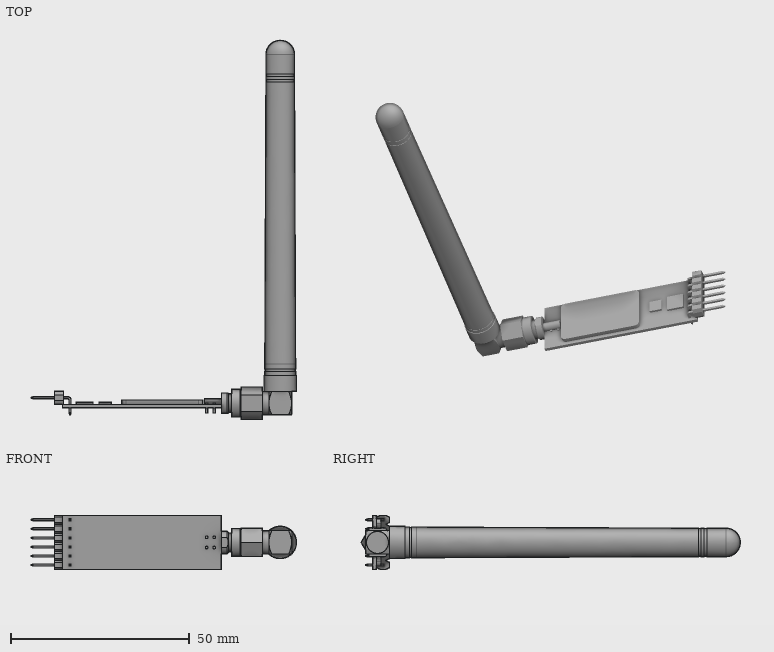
import cadquery as cq
import math


board_length = 44.5
board_width = 15.2
board_thickness = 1.01
board_back = -0.3
board_front = board_back - board_thickness

pin_count = 6
pin_pitch = board_width / pin_count
pin_width = 0.6
pin_tip_length = 0.6
pin_tip_taper = 20
pin_left_end = -8.8
pin_bottom_end = -3.3
pin_leg_x = 2.1
pin_bend_radius = 1.0
header_left = -2.2
header_length = 2.5
header_height = 3.7
header_waist = 1.6
header_bevel_width = 0.5
header_center_y = board_back + header_height / 2
pin_heights = [(i - (pin_count - 1) / 2) * pin_pitch for i in range(pin_count)]

shield_left = 16.6
shield_length = 22.7
shield_width = 13.2
shield_height = 1.3
shield_corner_radius = 1.3
chip_height = 0.6
chips = [(3.8, 4.8), (10.2, 3.5)]

barrel_radius = 1.3
barrel_length = 4.8
peg_diameter = 0.7
peg_bottom = -2.8
peg_half_spacing_z = 1.43
peg_setbacks = [2.0, 4.1]
flange_radius = 3.2
flange_length = 2.0
flange_chamfer = 0.4
flange_flat_distance = 2.9
thread_radius = 2.7
thread_length = 9.1

nut_start = board_length + 2.9
collar_radius = 3.9
collar_length = 2.3
nut_groove_width = 0.3
nut_groove_radius = 3.6
hex_across_flats = 8.0
hex_length = 6.0
elbow_side = 6.6
elbow_end_radius = 3.1
elbow_bevel_angle = 30
hex_start = nut_start + collar_length + nut_groove_width
hex_end = hex_start + hex_length

whip_x = 61.0
whip_base = elbow_side / 2
overall_length = 106.2
whip_end = overall_length - hex_across_flats / math.sqrt(3)
base_radius = 4.6
base_end = 7.8
ring_radius = 4.4
ring_ends = [8.9, 9.6, 10.9]
neck_radius = 4.2
tip_radius = 4.0
tip_grooves = [89.9, 91.4]
tip_groove_width = 0.7
tip_groove_depth = 0.1


def x_cylinder(start, length, radius):
    """Cylinder on the connector axis, from X = start."""
    return cq.Workplane("YZ", origin=(start, 0, 0)).circle(radius).extrude(length)


def box_between(x_range, y_range, width):
    """Box with the given X and Y ranges, centred on Z = 0."""
    x0, x1 = x_range
    y0, y1 = y_range
    box = cq.Workplane("XY").box(x1 - x0, y1 - y0, width)
    return box.translate(((x0 + x1) / 2, (y0 + y1) / 2, 0))


def peg_cylinders():
    """The four round legs of the jack, from the connector axis down through the board."""
    places = [
        (board_length - setback, side * peg_half_spacing_z)
        for setback in peg_setbacks
        for side in (-1, 1)
    ]
    plane = cq.Workplane(cq.Plane(origin=(0, 0, 0), xDir=(1, 0, 0), normal=(0, -1, 0)))
    return plane.pushPoints(places).circle(peg_diameter / 2).extrude(-peg_bottom)


def make_pin(height):
    """Bent square pin with tapered ends, centred on Z = height."""
    half = pin_width / 2
    shaft_left = pin_left_end + pin_tip_length
    leg_bottom = pin_bottom_end + pin_tip_length
    top = header_center_y + half
    outline = [
        (shaft_left, top),
        (pin_leg_x + half, top),
        (pin_leg_x + half, leg_bottom),
        (pin_leg_x - half, leg_bottom),
        (pin_leg_x - half, top - pin_width),
        (shaft_left, top - pin_width),
    ]
    shaft = cq.Workplane("XY").polyline(outline).close().extrude(half, both=True)
    shaft = shaft.edges("|Z and >X and >Y").fillet(pin_bend_radius)
    inner_corner = (pin_leg_x - half, top - pin_width, 0)
    inner_edge = cq.selectors.NearestToPointSelector(inner_corner)
    shaft = shaft.edges("|Z").edges(inner_edge).fillet(pin_bend_radius - pin_width)
    for face in ("<X", "<Y"):
        tip = (
            shaft.faces(face)
            .workplane(centerOption="CenterOfMass")
            .rect(pin_width, pin_width)
            .extrude(pin_tip_length, taper=pin_tip_taper, combine=False)
        )
        shaft = shaft.union(tip)
    return shaft.translate((0, 0, height))


def header_unit(height):
    """One bevelled housing segment around a pin."""
    y_outer = header_height / 2
    y_waist = header_waist / 2
    z_outer = pin_pitch / 2
    z_bevel = z_outer - header_bevel_width
    octagon = [
        (y_outer, -z_bevel),
        (y_outer, z_bevel),
        (y_waist, z_outer),
        (-y_waist, z_outer),
        (-y_outer, z_bevel),
        (-y_outer, -z_bevel),
        (-y_waist, -z_outer),
        (y_waist, -z_outer),
    ]
    plane = cq.Workplane("YZ", origin=(header_left, header_center_y, height))
    return plane.polyline(octagon).close().extrude(header_length)


def make_header():
    header = header_unit(pin_heights[0])
    for height in pin_heights[1:]:
        header = header.union(header_unit(height))
    for height in pin_heights:
        header = header.union(make_pin(height))
    return header


def make_board():
    """Board with its flat chips and the holes for the header pins and jack legs."""
    board = box_between((0, board_length), (board_front, board_back), board_width)
    for left, side in chips:
        chip = box_between((left, left + side), (board_back, board_back + chip_height), side)
        board = board.union(chip)
    for height in pin_heights:
        hole = cq.Workplane("XY").box(pin_width, 2 * board_thickness, pin_width)
        board = board.cut(hole.translate((pin_leg_x, (board_back + board_front) / 2, height)))
    return board.cut(peg_cylinders())


def make_shield():
    x_range = (shield_left, shield_left + shield_length)
    shield = box_between(x_range, (board_back, board_back + shield_height), shield_width)
    return shield.edges("|Y").fillet(shield_corner_radius)


def make_jack():
    """Flange with two flats, threaded stub, and a barrel with four legs on the board."""
    flange = x_cylinder(board_length, flange_length, flange_radius)
    flange = flange.faces(">X").chamfer(flange_chamfer)
    flats = box_between(
        (board_length, board_length + flange_length),
        (-flange_flat_distance, flange_flat_distance),
        2 * flange_radius,
    )
    flange = flange.intersect(flats)
    stub = x_cylinder(board_length, thread_length, thread_radius)
    barrel_start = board_length - barrel_length
    barrel = x_cylinder(barrel_start, barrel_length, barrel_radius)
    above_board = box_between((barrel_start, board_length), (board_back, barrel_radius), 2 * barrel_radius)
    barrel = barrel.intersect(above_board)
    return flange.union(stub).union(barrel).union(peg_cylinders())


def make_elbow():
    """Square block whose corners are turned down to a cone at both X ends."""
    half = elbow_side / 2
    block_left = whip_x - half
    block_right = whip_x + half
    turned_radius = elbow_side
    bevel_depth = (turned_radius - elbow_end_radius) * math.tan(math.radians(elbow_bevel_angle))
    profile = [
        (block_left, 0),
        (block_left, elbow_end_radius),
        (block_left + bevel_depth, turned_radius),
        (block_right - bevel_depth, turned_radius),
        (block_right, elbow_end_radius),
        (block_right, 0),
    ]
    turned = cq.Workplane("XY").polyline(profile).close().revolve(360, (0, 0, 0), (1, 0, 0))
    block = box_between((block_left, block_right), (-half, half), elbow_side)
    return block.intersect(turned)


def make_plug():
    """Coupling nut, neck and elbow, bored for the threaded stub of the jack."""
    collar = x_cylinder(nut_start, collar_length, collar_radius)
    groove = x_cylinder(nut_start + collar_length, nut_groove_width, nut_groove_radius)
    hex_corner_diameter = 2 * hex_across_flats / math.sqrt(3)
    hexagon = (
        cq.Workplane("YZ", origin=(hex_start, 0, 0))
        .polygon(6, hex_corner_diameter)
        .extrude(hex_length)
    )
    neck = x_cylinder(hex_end, whip_x - hex_end, elbow_side / 2)
    plug = collar.union(groove).union(hexagon).union(neck).union(make_elbow())
    return plug.cut(x_cylinder(board_length, thread_length, thread_radius))


def make_whip():
    """Turned whip: stepped base, slightly tapered rod, two fine grooves and a round tip."""
    ring_end, neck_end, rod_start = ring_ends
    dome_start = whip_end - tip_radius
    dome_middle = tip_radius * math.sqrt(0.5)
    whip = (
        cq.Workplane("XY", origin=(whip_x, 0, 0))
        .moveTo(0, whip_base)
        .lineTo(base_radius, whip_base)
        .lineTo(base_radius, base_end)
        .lineTo(ring_radius, base_end)
        .lineTo(ring_radius, ring_end)
        .lineTo(neck_radius, ring_end)
        .lineTo(neck_radius, neck_end)
        .lineTo(ring_radius, neck_end)
        .lineTo(ring_radius, rod_start)
        .lineTo(tip_radius, tip_grooves[0])
        .lineTo(tip_radius, dome_start)
        .threePointArc((dome_middle, dome_start + dome_middle), (0, whip_end))
        .close()
        .revolve(360, (0, 0, 0), (0, 1, 0))
    )
    for start in tip_grooves:
        groove = (
            cq.Workplane("XZ", origin=(whip_x, start, 0))
            .circle(base_radius)
            .circle(tip_radius - tip_groove_depth)
            .extrude(-tip_groove_width)
        )
        whip = whip.cut(groove)
    return whip


board = make_board()
header = make_header()
shield = make_shield()
jack = make_jack()
plug = make_plug()
whip = make_whip()

bodies = [board, header, shield, jack, plug, whip]
result = cq.Compound.makeCompound([body.solids().val() for body in bodies])